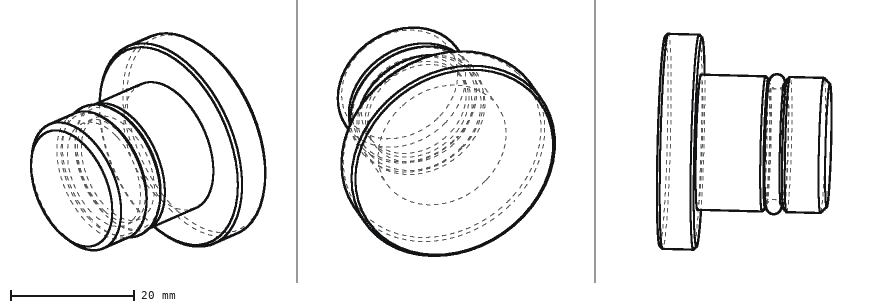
import cadquery as cq

flange_diameter = 35.0
flange_thickness = 6.0
total_length = 27.0
shank_diameter = 22.0
tip_chamfer = 1.0
edge_chamfer = 0.5

groove_setback = 7.0
groove_width = 3.0
ring_setback = 8.6
ring_section_diameter = 2.4
ring_outer_diameter = 22.8

flange_radius = flange_diameter / 2
shank_radius = shank_diameter / 2
ring_section_radius = ring_section_diameter / 2
ring_center_radius = ring_outer_diameter / 2 - ring_section_radius
groove_radius = ring_center_radius - ring_section_radius
shank_length = total_length - flange_thickness
groove_end = groove_setback + groove_width


def make_plug():
    """Flanged plug revolved about Y, with its tip face at Y = 0."""
    profile = (
        cq.Workplane("XY")
        .moveTo(0, 0)
        .lineTo(shank_radius - tip_chamfer, 0)
        .lineTo(shank_radius, tip_chamfer)
        .lineTo(shank_radius, groove_setback - edge_chamfer)
        .lineTo(shank_radius - edge_chamfer, groove_setback)
        .lineTo(groove_radius, groove_setback)
        .lineTo(groove_radius, groove_end)
        .lineTo(shank_radius - edge_chamfer, groove_end)
        .lineTo(shank_radius, groove_end + edge_chamfer)
        .lineTo(shank_radius, shank_length)
        .lineTo(flange_radius - edge_chamfer, shank_length)
        .lineTo(flange_radius, shank_length + edge_chamfer)
        .lineTo(flange_radius, total_length - edge_chamfer)
        .lineTo(flange_radius - edge_chamfer, total_length)
        .lineTo(0, total_length)
        .close()
    )
    return profile.revolve(360, (0, 0, 0), (0, 1, 0))


def make_seal_ring():
    """O-ring resting on the groove floor, slightly nearer the flange side of the groove."""
    section = cq.Workplane("XY").center(ring_center_radius, ring_setback).circle(ring_section_radius)
    return section.revolve(360, (-ring_center_radius, 0, 0), (-ring_center_radius, 1, 0))


plug = make_plug()
seal_ring = make_seal_ring()

result = cq.Compound.makeCompound([plug.val(), seal_ring.val()])